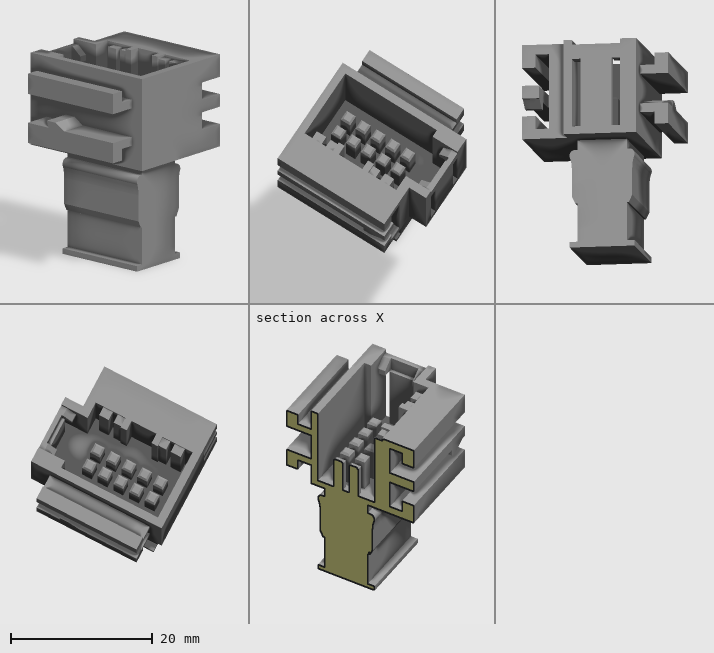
import cadquery as cq


LENGTH = 20.8
HEIGHT = 13.53
TOTAL_HEIGHT = 28.9
NECK_DEPTH = 10.43
HOUSING_DEPTH = 16.88
BACK_START_X = 2.85

CAVITY_X = (4.2, 19.62)
CAVITY_Y = (1.15, 11.7)
CAVITY_FLOOR = -12.43
CHANNEL_Y = (2.28, 9.22)

END_WALL_TOP = -0.66
END_WALL = 0.7
END_WALL_LOWER = 1.2
SLOT_WIDTH = 1.2
SLOT_TOP = -2.75
RAMP_X = (0.9, 2.35)
RAMP_DROP = 1.2

LOW_RIBS_X = ((5.4, 6.95), (7.72, 8.93), (14.85, 16.1), (16.82, 18.4))
LOW_RIB_DEPTH = 1.3
LOW_RIB_TOP = -0.4
TALL_RIBS_X = ((8.93, 9.9), (13.87, 14.85))
TALL_RIB_DEPTH = 1.5

POST_COLUMNS = 5
POST_ROWS = 2
POST_PITCH = 2.5
POST_CENTER = (11.96, 5.72)
POST_SIDE = 1.55
POST_TIP = 0.3
POST_TOP = -7.22

RAIL_X = (3.0, 18.93)
RAIL_DEPTH = 4.07
RAIL_STEM_DEPTH = 2.15
RAIL_STEM = 1.27
RAIL_FLANGE = 2.98
UPPER_RAIL_BOTTOM = -4.62
LOWER_RAIL_TOP = -8.87
TOOTH_X = 6.55
TOOTH_UNDERCUT = 0.3
TOOTH_CREST = 1.6
TOOTH_SLOPE = 1.62
TOOTH_HEIGHT = 0.98

GUIDE_FLOOR_Y = 12.98
GUIDE_LIP_Y = 14.95
GUIDE_OPENING_Z = (-10.23, -3.3)
GUIDE_POCKET = 1.88
GUIDE_END_X = 19.07
BAR_Z = (-7.7, -5.85)
BAR_REAR_Y = 14.48
BAR_ROOT_X = 10.4
HOOK_X = 3.47
HOOK_SLOPE = 1.73
HOOK_CREST = 1.15
HOOK_HEIGHT = 1.1

STEM_X = (5.0, 18.93)
STEM_CENTER_Y = 5.78
STEM_HALF = 3.55
FOOT_HALF = 4.65
FOOT_HEIGHT = 0.8
BULGE_HALF = 4.34
SHOULDER_HALF = 4.05
BULGE_BOTTOM_HALF = 3.85
SHOULDER_Z = -14.9
CREST_Z = -15.55
CREST_END = (4.57, -16.13)
BULGE_CURVE_MID = (4.4, -16.9)
BULGE_STRAIGHT_Z = (-17.75, -21.6)
BULGE_BOTTOM_Z = -22.6


def block(x, y, z):
    """Box between the given (low, high) limits on each axis."""
    size = (x[1] - x[0], y[1] - y[0], z[1] - z[0])
    return cq.Workplane("XY").box(*size, centered=False).translate((x[0], y[0], z[0]))


def make_housing():
    neck = block((0, LENGTH), (0, NECK_DEPTH), (-HEIGHT, 0))
    back = block((BACK_START_X, LENGTH), (0, HOUSING_DEPTH), (-HEIGHT, 0))
    cavity = block(CAVITY_X, CAVITY_Y, (CAVITY_FLOOR, 0))
    channel = block((0, CAVITY_X[0]), CHANNEL_Y, (CAVITY_FLOOR, 0))
    return neck.union(back).cut(cavity).cut(channel)


def make_end_wall():
    """Stepped wall with a ramped block above each of its two slots."""
    wall = block((0, END_WALL), CHANNEL_Y, (CAVITY_FLOOR, END_WALL_TOP))
    wall = wall.union(block((0, END_WALL_LOWER), CHANNEL_Y, (CAVITY_FLOOR, SLOT_TOP)))
    for y in (CHANNEL_Y[0], CHANNEL_Y[1] - SLOT_WIDTH):
        ramp = (
            cq.Workplane("XZ", origin=(0, y, 0))
            .moveTo(0, SLOT_TOP)
            .lineTo(0, END_WALL_TOP)
            .lineTo(RAMP_X[0], END_WALL_TOP)
            .lineTo(RAMP_X[1], END_WALL_TOP - RAMP_DROP)
            .lineTo(RAMP_X[1], SLOT_TOP)
            .close()
            .extrude(-SLOT_WIDTH)
        )
        slot = block((0, END_WALL_LOWER), (y, y + SLOT_WIDTH), (CAVITY_FLOOR, SLOT_TOP))
        wall = wall.union(ramp).cut(slot)
    return wall


def make_cavity_ribs():
    ribs = cq.Workplane("XY")
    back_y = CAVITY_Y[1]
    for x in LOW_RIBS_X:
        ribs = ribs.union(block(x, (back_y - LOW_RIB_DEPTH, back_y), (CAVITY_FLOOR, LOW_RIB_TOP)))
    for x in TALL_RIBS_X:
        ribs = ribs.union(block(x, (back_y - TALL_RIB_DEPTH, back_y), (CAVITY_FLOOR, 0)))
    return ribs


def make_posts():
    """Square posts, each with a chamfered tip."""
    return (
        cq.Workplane("XY", origin=(*POST_CENTER, CAVITY_FLOOR))
        .rarray(POST_PITCH, POST_PITCH, POST_COLUMNS, POST_ROWS)
        .rect(POST_SIDE, POST_SIDE)
        .extrude(POST_TOP - CAVITY_FLOOR)
        .faces(">Z")
        .chamfer(POST_TIP)
    )


def make_rail(inner_z, direction):
    """L-shaped rail whose flange points up (direction 1) or down (-1) from inner_z."""
    stem_z = sorted((inner_z, inner_z + direction * RAIL_STEM))
    flange_z = sorted((inner_z, inner_z + direction * RAIL_FLANGE))
    stem = block(RAIL_X, (-RAIL_STEM_DEPTH, 0), stem_z)
    return stem.union(block(RAIL_X, (-RAIL_DEPTH, -RAIL_STEM_DEPTH), flange_z))


def make_tooth():
    """Snap tooth across the top of the lower rail, undercut on one side."""
    return (
        cq.Workplane("XZ")
        .moveTo(TOOTH_X + TOOTH_UNDERCUT, LOWER_RAIL_TOP)
        .lineTo(TOOTH_X, LOWER_RAIL_TOP + TOOTH_HEIGHT)
        .lineTo(TOOTH_X + TOOTH_CREST, LOWER_RAIL_TOP + TOOTH_HEIGHT)
        .lineTo(TOOTH_X + TOOTH_CREST + TOOTH_SLOPE, LOWER_RAIL_TOP)
        .close()
        .extrude(RAIL_DEPTH)
    )


def make_guide_opening():
    """Through opening plus a pocket above and below it, each behind a lip."""
    low, high = GUIDE_OPENING_Z
    opening = block((BACK_START_X, LENGTH), (GUIDE_FLOOR_Y, HOUSING_DEPTH), (low, high))
    pockets = block(
        (BACK_START_X, GUIDE_END_X),
        (GUIDE_FLOOR_Y, GUIDE_LIP_Y),
        (low - GUIDE_POCKET, high + GUIDE_POCKET),
    )
    return opening.union(pockets)


def make_spring_bar():
    """Bar across the guide opening, with a free end that carries a hook."""
    bar = block((BACK_START_X, LENGTH), (BAR_REAR_Y, HOUSING_DEPTH), BAR_Z)
    root = block((BAR_ROOT_X, LENGTH), (GUIDE_FLOOR_Y, BAR_REAR_Y), BAR_Z)
    crest_x = HOOK_X + HOOK_SLOPE
    hook = (
        cq.Workplane("XZ", origin=(0, BAR_REAR_Y, 0))
        .moveTo(HOOK_X, BAR_Z[0])
        .lineTo(crest_x, BAR_Z[0] - HOOK_HEIGHT)
        .lineTo(crest_x + HOOK_CREST, BAR_Z[0] - HOOK_HEIGHT)
        .lineTo(crest_x + HOOK_CREST, BAR_Z[0])
        .close()
        .extrude(BAR_REAR_Y - HOUSING_DEPTH)
    )
    return bar.union(root).union(hook)


def make_stem():
    """Plug stem: half profile from its middle plane, extruded along X and mirrored."""
    foot_top = FOOT_HEIGHT - TOTAL_HEIGHT
    half = (
        cq.Workplane("YZ", origin=(STEM_X[0], 0, 0))
        .moveTo(0, -HEIGHT)
        .lineTo(STEM_HALF, -HEIGHT)
        .lineTo(STEM_HALF, SHOULDER_Z)
        .lineTo(SHOULDER_HALF, SHOULDER_Z)
        .threePointArc((FOOT_HALF, CREST_Z), CREST_END)
        .threePointArc(BULGE_CURVE_MID, (BULGE_HALF, BULGE_STRAIGHT_Z[0]))
        .lineTo(BULGE_HALF, BULGE_STRAIGHT_Z[1])
        .lineTo(BULGE_BOTTOM_HALF, BULGE_BOTTOM_Z)
        .lineTo(STEM_HALF, BULGE_BOTTOM_Z)
        .lineTo(STEM_HALF, foot_top)
        .lineTo(FOOT_HALF, foot_top)
        .lineTo(FOOT_HALF, -TOTAL_HEIGHT)
        .lineTo(0, -TOTAL_HEIGHT)
        .close()
        .extrude(STEM_X[1] - STEM_X[0])
    )
    return half.union(half.mirror("XZ")).translate((0, STEM_CENTER_Y, 0))


result = (
    make_housing()
    .union(make_end_wall())
    .union(make_cavity_ribs())
    .union(make_posts())
    .union(make_rail(UPPER_RAIL_BOTTOM, 1))
    .union(make_rail(LOWER_RAIL_TOP, -1))
    .union(make_tooth())
    .cut(make_guide_opening())
    .union(make_spring_bar())
    .union(make_stem())
)